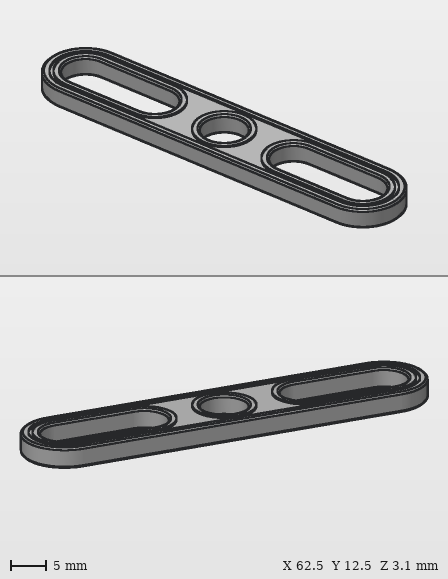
import cadquery as cq

length = 62.5
width = 12.5
thickness = 3.1

opening_width = 7.0
ring_width = 9.2
band = (ring_width - opening_width) / 2
recess_depth = 0.2
edge_chamfer = 0.3

end_center = (length - width) / 2
slot_travel = end_center / 2
slot_center = end_center - slot_travel / 2


def rounded_bar(bar_length, bar_width, height, center_x=0.0, base_z=0.0):
    """Upright prism with straight sides and half-round ends, lying along X."""
    return (
        cq.Workplane("XY", origin=(center_x, 0, base_z))
        .slot2D(bar_length, bar_width)
        .extrude(height)
    )


def opening_prisms(prism_width, height, base_z=0.0):
    """The two end slots and the middle round hole, all of the same width."""
    prisms = cq.Workplane("XY", origin=(0, 0, base_z)).circle(prism_width / 2).extrude(height)
    for center_x in (-slot_center, slot_center):
        prisms = prisms.union(
            rounded_bar(slot_travel + prism_width, prism_width, height, center_x, base_z)
        )
    return prisms


body = rounded_bar(length, width, thickness).cut(opening_prisms(opening_width, thickness))
body = body.faces("|Z").edges().chamfer(edge_chamfer)

recess_floor = thickness - recess_depth
recess = rounded_bar(length - 2 * band, width - 2 * band, recess_depth, base_z=recess_floor)
recess = recess.cut(opening_prisms(ring_width, recess_depth, recess_floor))

result = body.cut(recess)